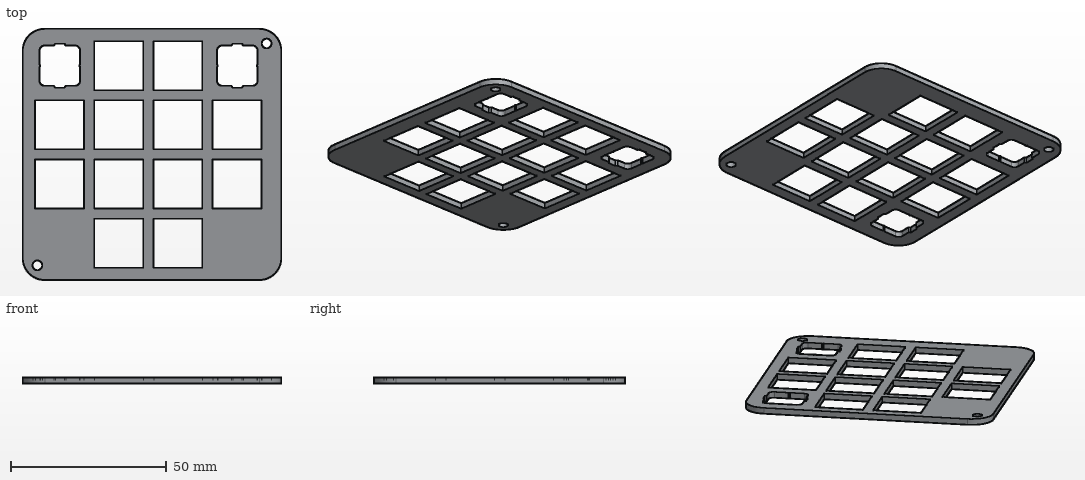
import cadquery as cq

key_pitch = 19.05
grid_count = 4
margin = key_pitch / 8
plate_length = grid_count * key_pitch + 3 * margin
plate_width = grid_count * key_pitch + 2 * margin
plate_thickness = 2.0
plate_corner_radius = 3 * margin

grid_center_x = -margin / 2

key_opening = 15.68
key_columns_by_row = ((1, 2), (0, 1, 2, 3), (0, 1, 2, 3), (1, 2))

shaped_columns = (0, 3)
shaped_row = 3
shaped_offset_x = 0.08
shaped_width = 13.0
shaped_height = 12.9
shaped_corner_radius = 1.6
lobe_base_width = 3.8
lobe_tip_width = 3.0
lobe_depth = 0.6
nub_base_width = 0.8
nub_tip_width = 0.4
nub_depth = 0.2

hole_diameter = 3.06
hole_inset = 2 * margin


def cell_center(column, row):
    """Centre of one cell of the key grid."""
    first_cell = -(grid_count - 1) / 2
    x = grid_center_x + (first_cell + column) * key_pitch
    y = (first_cell + row) * key_pitch
    return x, y


def through_prism(points):
    """Polygon extruded through the plate thickness."""
    return cq.Workplane("XY").polyline(points).close().extrude(plate_thickness)


def make_plate():
    plate = cq.Workplane("XY").box(
        plate_length, plate_width, plate_thickness, centered=(True, True, False)
    )
    return plate.edges("|Z").fillet(plate_corner_radius)


def cut_key_openings(plate):
    centers = []
    for row, columns in enumerate(key_columns_by_row):
        for column in columns:
            centers.append(cell_center(column, row))
    cutter = (
        cq.Workplane("XY").pushPoints(centers).rect(key_opening, key_opening).extrude(plate_thickness)
    )
    return plate.cut(cutter)


def make_shaped_cutter():
    """Rounded rectangle with a lobe at each Y end and a small inward nub on each X side."""
    cutter = cq.Workplane("XY").rect(shaped_width, shaped_height).extrude(plate_thickness)
    cutter = cutter.edges("|Z").fillet(shaped_corner_radius)
    for side in (-1, 1):
        end_y = side * shaped_height / 2
        tip_y = end_y + side * lobe_depth
        lobe = through_prism([
            (-lobe_base_width / 2, 0),
            (-lobe_base_width / 2, end_y),
            (-lobe_tip_width / 2, tip_y),
            (lobe_tip_width / 2, tip_y),
            (lobe_base_width / 2, end_y),
            (lobe_base_width / 2, 0),
        ])
        cutter = cutter.union(lobe)
        side_x = side * shaped_width / 2
        tip_x = side_x - side * nub_depth
        nub = through_prism([
            (side_x, -nub_base_width / 2),
            (tip_x, -nub_tip_width / 2),
            (tip_x, nub_tip_width / 2),
            (side_x, nub_base_width / 2),
        ])
        cutter = cutter.cut(nub)
    return cutter


def cut_shaped_openings(plate):
    cutter = make_shaped_cutter()
    for column in shaped_columns:
        x, y = cell_center(column, shaped_row)
        plate = plate.cut(cutter.translate((x + shaped_offset_x, y, 0)))
    return plate


def cut_mounting_holes(plate):
    x = plate_length / 2 - hole_inset
    y = plate_width / 2 - hole_inset
    cutter = (
        cq.Workplane("XY")
        .pushPoints([(-x, -y), (x, y)])
        .circle(hole_diameter / 2)
        .extrude(plate_thickness)
    )
    return plate.cut(cutter)


result = make_plate()
result = cut_key_openings(result)
result = cut_shaped_openings(result)
result = cut_mounting_holes(result)